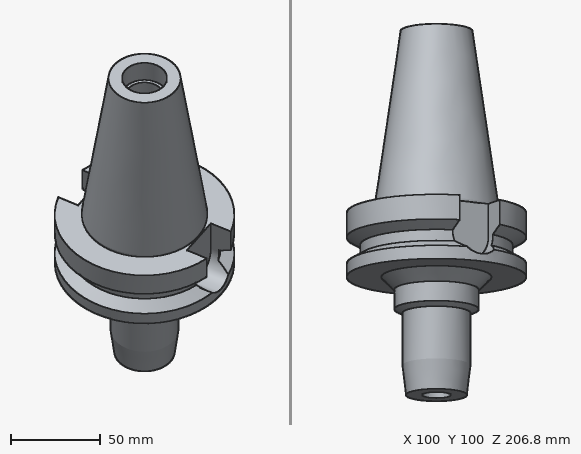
import cadquery as cq
import math

GAUGE_RADIUS = 69.85 / 2
TAPER_LENGTH = 101.8
TAPER_RATIO = 7 / 24
TAPER_TIP_RADIUS = GAUGE_RADIUS - TAPER_LENGTH * TAPER_RATIO / 2

FLANGE_RADIUS = 50.0
FLANGE_TOP_Z = -1.5
FLANGE_BOTTOM_Z = -38.0

GROOVE_RADIUS = 85.0 / 2
GROOVE_MIDDLE_Z = -23.0
GROOVE_FLOOR_WIDTH = 6.3
GROOVE_WALL_ANGLE = 30.0
GROOVE_WALL_DROP = (FLANGE_RADIUS - GROOVE_RADIUS) * math.tan(math.radians(GROOVE_WALL_ANGLE))
GROOVE_FLOOR_TOP_Z = GROOVE_MIDDLE_Z + GROOVE_FLOOR_WIDTH / 2
GROOVE_FLOOR_BOTTOM_Z = GROOVE_MIDDLE_Z - GROOVE_FLOOR_WIDTH / 2

PROJECTION = 105.0
COLLAR_RADIUS = 47.0 / 2
NECK_CONE_HEIGHT = 7.2
COLLAR_TOP_Z = FLANGE_BOTTOM_Z - NECK_CONE_HEIGHT
COLLAR_BOTTOM_Z = -56.3
BARREL_RADIUS = 38.0 / 2
BARREL_TOP_Z = -58.5
NOSE_TOP_Z = -88.2
NOSE_TIP_RADIUS = 34.0 / 2

SLOT_WIDTH = 25.7
SLOT_FLOOR_X = 35.4
SLOT_BOTTOM_Z = -33.8

SOCKET_RADIUS = 25.0 / 2
SOCKET_DEPTH = 13.0
THREAD_RADIUS = 21.0 / 2
THREAD_DEPTH = 45.0
STEP_RADIUS = 18.8 / 2
STEP_DEPTH = 60.0
THROUGH_RADIUS = 16.0 / 2


def turned_body():
    """Taper, grooved flange and chuck body revolved about Z."""
    profile = [
        (0, TAPER_LENGTH),
        (TAPER_TIP_RADIUS, TAPER_LENGTH),
        (GAUGE_RADIUS, 0),
        (GAUGE_RADIUS, FLANGE_TOP_Z),
        (FLANGE_RADIUS, FLANGE_TOP_Z),
        (FLANGE_RADIUS, GROOVE_FLOOR_TOP_Z + GROOVE_WALL_DROP),
        (GROOVE_RADIUS, GROOVE_FLOOR_TOP_Z),
        (GROOVE_RADIUS, GROOVE_FLOOR_BOTTOM_Z),
        (FLANGE_RADIUS, GROOVE_FLOOR_BOTTOM_Z - GROOVE_WALL_DROP),
        (FLANGE_RADIUS, FLANGE_BOTTOM_Z),
        (COLLAR_RADIUS + NECK_CONE_HEIGHT, FLANGE_BOTTOM_Z),
        (COLLAR_RADIUS, COLLAR_TOP_Z),
        (COLLAR_RADIUS, COLLAR_BOTTOM_Z),
        (BARREL_RADIUS, BARREL_TOP_Z),
        (BARREL_RADIUS, NOSE_TOP_Z),
        (NOSE_TIP_RADIUS, -PROJECTION),
        (0, -PROJECTION),
    ]
    axis_start = (0, 0, 0)
    axis_end = (0, 1, 0)
    return cq.Workplane("XZ").polyline(profile).close().revolve(360, axis_start, axis_end)


def drive_slot(side):
    """Round-bottomed slot cutter, open upward and outward; side is +1 or -1 along X."""
    radius = SLOT_WIDTH / 2
    arc_centre_z = SLOT_BOTTOM_Z + radius
    depth = FLANGE_RADIUS - SLOT_FLOOR_X
    return (
        cq.Workplane("YZ", origin=(side * SLOT_FLOOR_X, 0, 0))
        .moveTo(-radius, FLANGE_TOP_Z)
        .lineTo(-radius, arc_centre_z)
        .threePointArc((0, SLOT_BOTTOM_Z), (radius, arc_centre_z))
        .lineTo(radius, FLANGE_TOP_Z)
        .close()
        .extrude(side * depth)
    )


def bore(radius, depth):
    """Cylinder on the axis, sunk from the small end of the taper."""
    return cq.Workplane("XY", origin=(0, 0, TAPER_LENGTH)).circle(radius).extrude(-depth)


BORE_STEPS = [
    (SOCKET_RADIUS, SOCKET_DEPTH),
    (THREAD_RADIUS, THREAD_DEPTH),
    (STEP_RADIUS, STEP_DEPTH),
    (THROUGH_RADIUS, TAPER_LENGTH + PROJECTION),
]

result = turned_body()
for side in (1, -1):
    result = result.cut(drive_slot(side))
for step_radius, step_depth in BORE_STEPS:
    result = result.cut(bore(step_radius, step_depth))